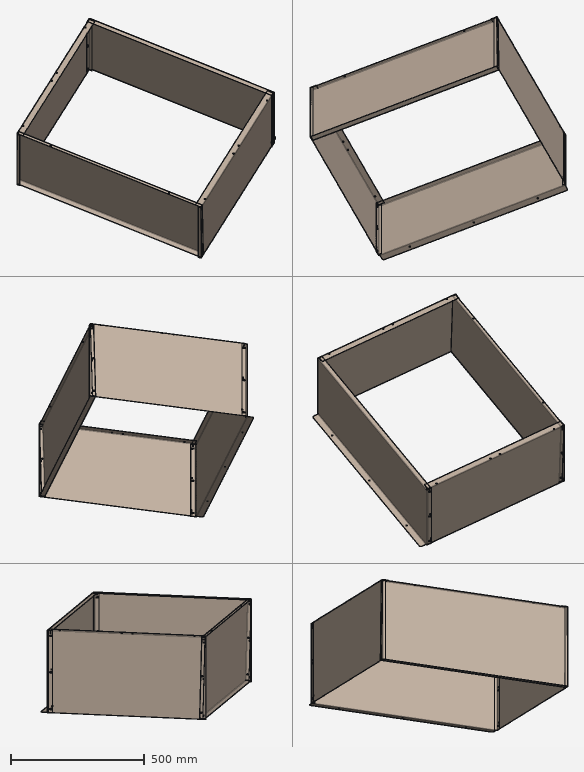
import cadquery as cq
import math

LENGTH = 778.0
DEPTH = 636.5
HEIGHT = 316.0

SHEET = 1.0
BEND_INSIDE = 0.55
BEND_OUTSIDE = BEND_INSIDE + SHEET
HOLE_DIAMETER = 5.0
WRAP_HOLE_DIAMETER = 6.0

SIDE_CLEARANCE = 0.4
SIDE_X = LENGTH / 2 - SHEET - SIDE_CLEARANCE
SIDE_BACK_Y = 606.0
SIDE_FLANGE = 25.0
SIDE_RETURN = 12.5
EDGE_HOLE_INSET = 5.5
EDGE_HOLE_OFFSETS = (21.0, 260.0)

REAR_Y = 611.0
REAR_TOP_FLANGE = 19.0
REAR_WRAP = 22.0
FOOT_WIDTH = 769.0
FOOT_CORNER = 8.0
FOOT_HOLE_Y = 622.5
FOOT_HOLE_SPACING = 265.0

LEAN = 1.5
FRONT_BOTTOM_Y = 23.0
FRONT_TOP_FLANGE = 12.5
FRONT_SIDE_FLANGE = 13.0
FRONT_BOTTOM_FLANGE = 21.0
FRONT_GAP = 0.2
FRONT_LIFT = 1.95
FRONT_HOLE_X = 248.0
FRONT_HOLE_INSET = 5.5

MID_Z = HEIGHT / 2
JOINT_PITCH = 140.0
FRONT_JOINT_Z = MID_Z + 8.0
REAR_JOINT_Z = MID_Z - 3.0
FRONT_JOINT_INSET = 12.5
REAR_JOINT_INSET = 8.0
WRAP_HOLE_Y = 594.5


def joint_row(inset, middle_z, lean):
    """Three (inset, height) points; the row leans by the given angle away from the vertical."""
    slope = math.tan(math.radians(lean))
    steps = [row * JOINT_PITCH for row in (-1, 0, 1)]
    return [(inset - step * slope, middle_z + step) for step in steps]


def flange(corner, outward, fold, length, depth):
    """Bend and leg of a flange.

    corner: middle of the sharp outer edge that the bend replaces
    outward: direction in the plate toward that edge
    fold: direction in which the leg leaves the plate
    """
    plane = cq.Plane(corner, xDir=outward, normal=cq.Vector(*outward).cross(cq.Vector(*fold)))
    center = (-BEND_OUTSIDE, BEND_OUTSIDE)
    diagonal = math.sqrt(0.5)
    outer_mid = (center[0] + BEND_OUTSIDE * diagonal, center[1] - BEND_OUTSIDE * diagonal)
    inner_mid = (center[0] + BEND_INSIDE * diagonal, center[1] - BEND_INSIDE * diagonal)
    return (
        cq.Workplane(plane)
        .moveTo(-BEND_OUTSIDE, 0)
        .threePointArc(outer_mid, (0, BEND_OUTSIDE))
        .lineTo(0, depth)
        .lineTo(-SHEET, depth)
        .lineTo(-SHEET, BEND_OUTSIDE)
        .threePointArc(inner_mid, (-BEND_OUTSIDE, SHEET))
        .close()
        .extrude(length / 2, both=True)
    )


def box(x_range, y_range, z_range):
    (x0, x1), (y0, y1), (z0, z1) = x_range, y_range, z_range
    return cq.Workplane().box(x1 - x0, y1 - y0, z1 - z0, centered=False).translate((x0, y0, z0))


def drill(panel, axis_plane, points, diameter, start, depth):
    tool = (
        cq.Workplane(axis_plane)
        .workplane(offset=start)
        .pushPoints(points)
        .circle(diameter / 2)
        .extrude(depth)
    )
    return panel.cut(tool)


def left_side_panel():
    x = -SIDE_X
    mid_y = SIDE_BACK_Y / 2
    plate = box(
        (x, x + SHEET),
        (BEND_OUTSIDE, SIDE_BACK_Y - BEND_OUTSIDE),
        (0, HEIGHT - BEND_OUTSIDE),
    )
    inward = (1, 0, 0)
    flange_length = SIDE_BACK_Y - 2 * BEND_OUTSIDE
    return_length = HEIGHT - 2 * SHEET
    return_z = return_length / 2
    panel = (
        plate
        .union(flange((x, mid_y, HEIGHT), (0, 0, 1), inward, flange_length, SIDE_FLANGE))
        .union(flange((x, 0, return_z), (0, -1, 0), inward, return_length, SIDE_RETURN))
        .union(flange((x, SIDE_BACK_Y, return_z), (0, 1, 0), inward, return_length, SIDE_RETURN))
    )
    edge_holes = [
        (x + EDGE_HOLE_INSET, mid_y + sign * offset)
        for offset in EDGE_HOLE_OFFSETS
        for sign in (-1, 1)
    ]
    panel = drill(panel, "XY", edge_holes, HOLE_DIAMETER, HEIGHT - SHEET, SHEET)
    joint_holes = joint_row(FRONT_JOINT_INSET, FRONT_JOINT_Z, LEAN)
    joint_holes += joint_row(REAR_JOINT_INSET, REAR_JOINT_Z, 0)
    joint_holes += [(SIDE_BACK_Y - inset, z) for inset, z in joint_holes]
    return drill(panel, "YZ", joint_holes, HOLE_DIAMETER, x, SHEET)


def rear_panel():
    inner_y = REAR_Y - SHEET
    half = LENGTH / 2
    top = HEIGHT - SHEET
    plate = box(
        (-half + BEND_OUTSIDE, half - BEND_OUTSIDE),
        (inner_y, REAR_Y),
        (BEND_OUTSIDE, top - BEND_OUTSIDE),
    )
    wrap_length = top - BEND_OUTSIDE
    wrap_z = wrap_length / 2
    flange_length = 2 * (SIDE_X - BEND_OUTSIDE)
    foot = flange((0, inner_y, 0), (0, 0, -1), (0, 1, 0), FOOT_WIDTH, DEPTH - inner_y)
    foot = foot.edges("|Z and >Y").fillet(FOOT_CORNER)
    panel = (
        plate
        .union(flange((0, REAR_Y, top), (0, 0, 1), (0, -1, 0), flange_length, REAR_TOP_FLANGE))
        .union(foot)
    )
    for side in (-1, 1):
        panel = panel.union(
            flange((side * half, REAR_Y, wrap_z), (side, 0, 0), (0, -1, 0), wrap_length, REAR_WRAP)
        )
    foot_holes = [(step * FOOT_HOLE_SPACING, FOOT_HOLE_Y) for step in (-1, 0, 1)]
    panel = drill(panel, "XY", foot_holes, HOLE_DIAMETER, 0, SHEET)
    wrap_holes = joint_row(WRAP_HOLE_Y, REAR_JOINT_Z, 0)
    return drill(panel, "YZ", wrap_holes, WRAP_HOLE_DIAMETER, -half, LENGTH)


def front_panel():
    """Built upright with its inner face on Y = 0, then leaned and moved into place."""
    half = SIDE_X - SHEET - FRONT_GAP
    lean = math.radians(LEAN)
    bottom = FRONT_LIFT + FRONT_BOTTOM_FLANGE * math.sin(lean)
    top = HEIGHT - SHEET - FRONT_GAP
    height = (top - bottom) / math.cos(lean)
    plate = box(
        (-half + BEND_OUTSIDE, half - BEND_OUTSIDE),
        (-SHEET, 0),
        (BEND_OUTSIDE, height - BEND_OUTSIDE),
    )
    forward = (0, -1, 0)
    long_length = 2 * (half - BEND_OUTSIDE)
    short_length = height - 2 * BEND_OUTSIDE
    panel = (
        plate
        .union(flange((0, 0, height), (0, 0, 1), forward, long_length, FRONT_TOP_FLANGE))
        .union(flange((0, 0, 0), (0, 0, -1), forward, long_length, FRONT_BOTTOM_FLANGE))
    )
    for side in (-1, 1):
        edge = (side * half, 0, height / 2)
        panel = panel.union(flange(edge, (side, 0, 0), forward, short_length, FRONT_SIDE_FLANGE))
    top_holes = [(side * FRONT_HOLE_X, FRONT_HOLE_INSET - FRONT_TOP_FLANGE) for side in (-1, 1)]
    panel = drill(panel, "XY", top_holes, HOLE_DIAMETER, height - SHEET, SHEET)
    side_holes = joint_row(-FRONT_SIDE_FLANGE / 2, FRONT_JOINT_Z - bottom, 0)
    panel = drill(panel, "YZ", side_holes, HOLE_DIAMETER, -half, 2 * half)
    return panel.rotate((0, 0, 0), (1, 0, 0), LEAN).translate((0, FRONT_BOTTOM_Y, bottom))


left_side = left_side_panel()
right_side = left_side.mirror("YZ")
rear = rear_panel()
front = front_panel()

result = cq.Compound.makeCompound([left_side.val(), right_side.val(), rear.val(), front.val()])